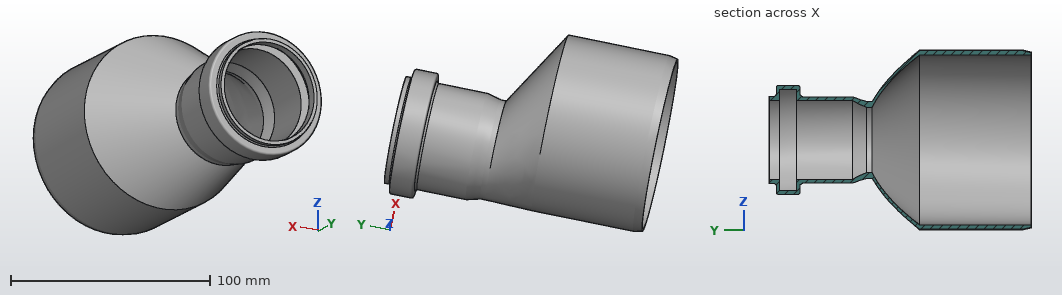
import cadquery as cq

length = 131.5

spigot_diameter = 90.2
spigot_bore = 85.3
spigot_tip_diameter = 88.2
spigot_chamfer_length = 4.2
spigot_end = 56.0

neck_diameter = 50.9
neck_bore = 46.2
neck_start = 79.8
flare_start = 82.6
flare_end = 89.7

socket_diameter = 54.6
socket_bore = 51.2
bead_diameter = 64.0
bead_groove_diameter = 60.4
bead_start = 116.0
bead_end = 128.1
bead_edge_radius = 1.0
bead_root_length = 1.2
bead_root_diameter = 56.2
lip_diameter = 54.8
lip_straight_start = 129.0

bead_wall = (bead_diameter - bead_groove_diameter) / 2
socket_axis_x = -(spigot_diameter - neck_diameter) / 2


def revolve_profile(stations, axis_x):
    """Solid of revolution about a line along Y, from (diameter, y) stations."""
    outline = [(diameter / 2, y) for diameter, y in stations]
    first_y = stations[0][1]
    last_y = stations[-1][1]
    return (
        cq.Workplane("XY")
        .polyline([(0, first_y)] + outline + [(0, last_y)])
        .close()
        .revolve(360, (0, 0, 0), (0, 1, 0))
        .translate((axis_x, 0, 0))
    )


def eccentric_cone(wide_diameter, narrow_diameter):
    """Loft between the spigot circle and the offset neck circle."""
    wide_circle = cq.Wire.makeCircle(
        wide_diameter / 2, cq.Vector(0, spigot_end, 0), cq.Vector(0, 1, 0)
    )
    narrow_circle = cq.Wire.makeCircle(
        narrow_diameter / 2, cq.Vector(socket_axis_x, neck_start, 0), cq.Vector(0, 1, 0)
    )
    return cq.Workplane(cq.Solid.makeLoft([wide_circle, narrow_circle], True))


def outer_body():
    spigot = revolve_profile(
        [
            (spigot_tip_diameter, 0),
            (spigot_diameter, spigot_chamfer_length),
            (spigot_diameter, spigot_end),
        ],
        0,
    )
    socket = revolve_profile(
        [
            (neck_diameter, neck_start),
            (neck_diameter, flare_start),
            (socket_diameter, flare_end),
            (socket_diameter, bead_start - bead_root_length),
            (bead_root_diameter, bead_start),
            (bead_root_diameter, bead_end),
            (lip_diameter, lip_straight_start),
            (lip_diameter, length),
        ],
        socket_axis_x,
    )
    bead = revolve_profile(
        [(bead_diameter, bead_start), (bead_diameter, bead_end)], socket_axis_x
    ).edges("%CIRCLE").fillet(bead_edge_radius)
    cone = eccentric_cone(spigot_diameter, neck_diameter)
    return spigot.union(cone).union(socket).union(bead)


def inner_cavity():
    spigot = revolve_profile([(spigot_bore, 0), (spigot_bore, spigot_end)], 0)
    groove_start = bead_start + bead_wall
    groove_end = bead_end - bead_wall
    socket = revolve_profile(
        [
            (neck_bore, neck_start),
            (neck_bore, flare_start),
            (socket_bore, flare_end),
            (socket_bore, groove_start),
            (bead_groove_diameter, groove_start),
            (bead_groove_diameter, groove_end),
            (socket_bore, groove_end),
            (socket_bore, length),
        ],
        socket_axis_x,
    )
    return spigot.union(eccentric_cone(spigot_bore, neck_bore)).union(socket)


result = outer_body().cut(inner_cavity())